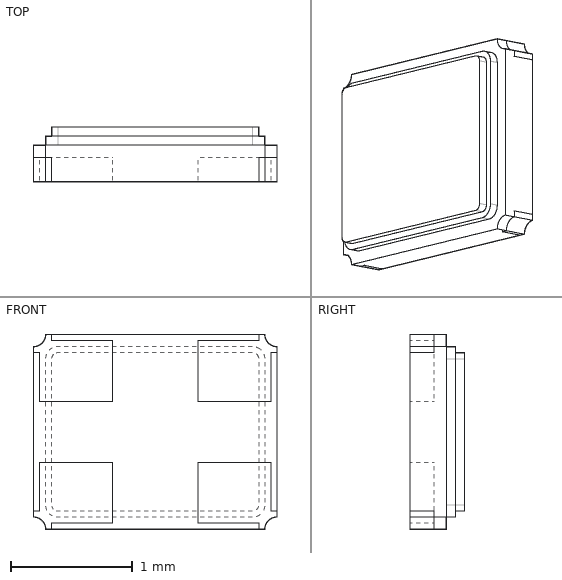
import cadquery as cq

length = 2.0
height = 1.6
total_thickness = 0.45
base_thickness = 0.3
step_thickness = (total_thickness - base_thickness) / 2
notch_radius = 0.1

ring_inset = 0.1
ring_corner_radius = 0.1
lid_inset = 0.15
lid_corner_radius = 0.05

pad_inset = 0.05
pad_length = 0.6
pad_height = 0.5
pad_depth = 0.2
corner_reach = 0.15

half_length = length / 2
half_height = height / 2


def block(x_size, z_size, y_start, thickness):
    """Box centred in X and Z, running from y_start towards +Y."""
    box = cq.Workplane("XY").box(x_size, thickness, z_size, centered=(True, False, True))
    return box.translate((0, y_start, 0))


def rounded_plate(inset, corner_radius, y_start):
    """One tier of the stepped back, with its corners rounded."""
    plate = block(length - 2 * inset, height - 2 * inset, y_start, step_thickness)
    return plate.edges("|Y").fillet(corner_radius)


def corner_notches():
    """Quarter-round cutters, one centred on each corner edge of the base."""
    return (
        cq.Workplane("XZ")
        .rect(length, height, forConstruction=True)
        .vertices()
        .circle(notch_radius)
        .extrude(-base_thickness)
    )


def make_pad(x_side, z_side):
    """Pad at the corner given by the signs x_side and z_side, flush with the base."""

    def corner_rectangle(x_near, x_far, z_near, z_far):
        """Slab between two distances inward from each of the corner's edges."""
        center_x = x_side * (half_length - (x_near + x_far) / 2)
        center_z = z_side * (half_height - (z_near + z_far) / 2)
        slab = block(x_far - x_near, z_far - z_near, 0, pad_depth)
        return slab.translate((center_x, 0, center_z))

    land = corner_rectangle(pad_inset, pad_inset + pad_length, pad_inset, pad_inset + pad_height)
    corner = corner_rectangle(0, corner_reach, 0, corner_reach)
    return land.union(corner).cut(corner_notches())


def make_housing(pads):
    """Notched base with the ring and lid tiers, recessed to receive the pads."""
    base = block(length, height, 0, base_thickness).cut(corner_notches())
    ring = rounded_plate(ring_inset, ring_corner_radius, base_thickness)
    lid = rounded_plate(lid_inset, lid_corner_radius, base_thickness + step_thickness)
    body = base.union(ring).union(lid)
    for pad in pads:
        body = body.cut(pad)
    return body


pads = [make_pad(x_side, z_side) for x_side in (-1, 1) for z_side in (-1, 1)]
housing = make_housing(pads)

result = cq.Compound.makeCompound([housing.solids().val(), *[pad.solids().val() for pad in pads]])